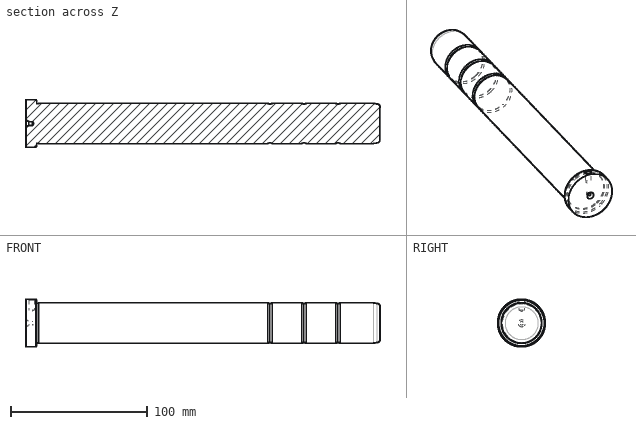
import cadquery as cq
import math

length = 260.0
head_diameter = 35.0
head_length = 8.0
head_chamfer = 0.8
body_diameter = 30.0

relief_length = 1.5
relief_depth = 0.3

tip_taper_length = 2.9
tip_taper_depth = 0.5
tip_radius = 2.3

groove_count = 3
first_groove_start = 177.5
groove_pitch = 25.0
groove_width = 3.0
groove_depth = 0.8

mouth_diameter = 5.2
mouth_angle = 60.0
pilot_diameter = 2.5
pilot_length = 2.5
drill_point_angle = 120.0

radial_hole_x = head_length / 2
radial_mouth_diameter = 5.2
radial_hole_diameter = 4.0
radial_hole_depth = 7.8

head_radius = head_diameter / 2
body_radius = body_diameter / 2


def make_pin():
    """Revolve the stepped outline about the X axis."""
    relief_radius = body_radius - relief_depth
    body_start = head_length + relief_length
    round_start = length - tip_radius
    taper_radius = body_radius - tip_taper_depth
    return (
        cq.Workplane("XY")
        .lineTo(0, head_radius)
        .lineTo(head_length - head_chamfer, head_radius)
        .lineTo(head_length, head_radius - head_chamfer)
        .lineTo(head_length, relief_radius)
        .lineTo(body_start, relief_radius)
        .lineTo(body_start, body_radius)
        .lineTo(round_start - tip_taper_length, body_radius)
        .lineTo(round_start, taper_radius)
        .radiusArc((length, taper_radius - tip_radius), tip_radius)
        .lineTo(length, 0)
        .close()
        .revolve(360, (0, 0, 0), (1, 0, 0))
    )


def make_groove(start):
    """Ring with a V-shaped section, opening at the body surface."""
    return (
        cq.Workplane("XY")
        .moveTo(start, body_radius)
        .lineTo(start + groove_width / 2, body_radius - groove_depth)
        .lineTo(start + groove_width, body_radius)
        .close()
        .revolve(360, (0, 0, 0), (1, 0, 0))
    )


def cone_height(radius, full_angle):
    """Height of a cone with the given base radius and full angle."""
    return radius / math.tan(math.radians(full_angle / 2))


def make_centre_hole():
    """Cone and pointed pilot revolved about the X axis, inwards from the head face."""
    mouth_radius = mouth_diameter / 2
    pilot_radius = pilot_diameter / 2
    mouth_depth = cone_height(mouth_radius - pilot_radius, mouth_angle)
    pilot_end = mouth_depth + pilot_length
    return (
        cq.Workplane("XY")
        .lineTo(0, mouth_radius)
        .lineTo(mouth_depth, pilot_radius)
        .lineTo(pilot_end, pilot_radius)
        .lineTo(pilot_end + cone_height(pilot_radius, drill_point_angle), 0)
        .close()
        .revolve(360, (0, 0, 0), (1, 0, 0))
    )


def make_radial_hole():
    """Chamfered, pointed bore revolved about a vertical axis, downwards from the top of the rim."""
    mouth_radius = radial_mouth_diameter / 2
    radius = radial_hole_diameter / 2
    chamfer = mouth_radius - radius
    bore_bottom = head_radius - radial_hole_depth
    return (
        cq.Workplane("XZ")
        .moveTo(radial_hole_x, head_radius)
        .lineTo(radial_hole_x + mouth_radius, head_radius)
        .lineTo(radial_hole_x + radius, head_radius - chamfer)
        .lineTo(radial_hole_x + radius, bore_bottom)
        .lineTo(radial_hole_x, bore_bottom - cone_height(radius, drill_point_angle))
        .close()
        .revolve(360, (radial_hole_x, 0, 0), (radial_hole_x, 1, 0))
    )


result = make_pin()
for index in range(groove_count):
    result = result.cut(make_groove(first_groove_start + index * groove_pitch))
result = result.cut(make_centre_hole()).cut(make_radial_hole())